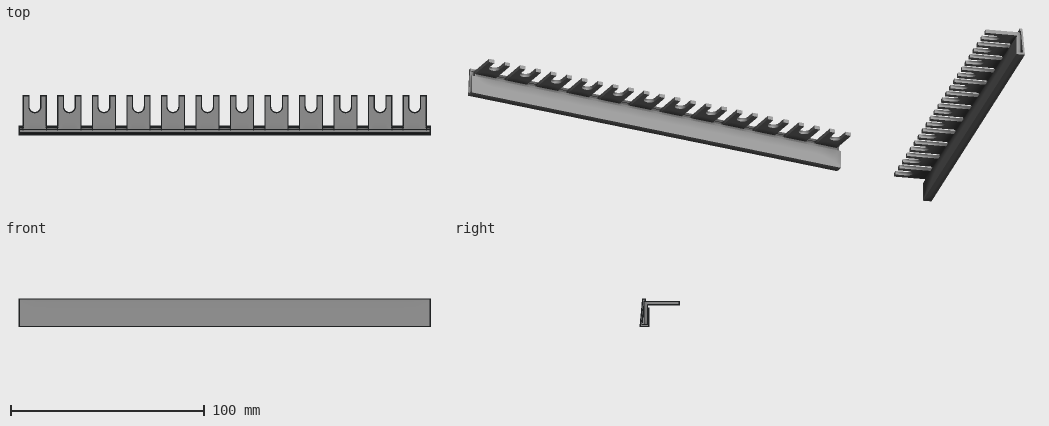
import cadquery as cq

length = 212.0
depth = 20.3
height = 14.3

carrier_depth = 4.55
floor_thickness = 1.1
rear_wall_thickness = 0.7
rear_wall_height = 9.6
front_wall_thickness = 0.95
front_wall_lean = 1.3
hook_thickness = 1.25
hook_depth = 1.4

bar_thickness = 1.9
bar_end_margin = 2.1
tooth_count = 12
tooth_width = 12.0
slot_width = 6.0
slot_depth = 8.75

front_y = -depth / 2
tip_y = depth / 2
carrier_rear_y = front_y + carrier_depth
bar_rear_y = carrier_rear_y - rear_wall_thickness
bar_front_y = bar_rear_y - bar_thickness
tooth_top_z = height - hook_thickness
tooth_bottom_z = tooth_top_z - bar_thickness
bar_length = length - 2 * bar_end_margin
tooth_pitch = (bar_length - tooth_width) / (tooth_count - 1)
slot_radius = slot_width / 2


def front_wall_y(z):
    """Outer surface of the leaning front wall at height z."""
    return front_y + front_wall_lean * z / height


def block(size_x, y_range, z_range, center_x=0):
    """Box centred on center_x that spans the given Y and Z ranges."""
    y_start, y_end = y_range
    z_start, z_end = z_range
    return (
        cq.Workplane("XY")
        .box(size_x, y_end - y_start, z_end - z_start, centered=(True, False, False))
        .translate((center_x, y_start, z_start))
    )


def make_carrier():
    """Channel profile extruded along the full length."""
    hook_rear_y = front_wall_y(height) + hook_depth
    profile = [
        (front_y, 0),
        (carrier_rear_y, 0),
        (carrier_rear_y, rear_wall_height),
        (bar_rear_y, rear_wall_height),
        (bar_rear_y, floor_thickness),
        (front_wall_y(floor_thickness) + front_wall_thickness, floor_thickness),
        (front_wall_y(tooth_top_z) + front_wall_thickness, tooth_top_z),
        (hook_rear_y, tooth_top_z),
        (hook_rear_y, height),
        (front_wall_y(height), height),
    ]
    return cq.Workplane("YZ").polyline(profile).close().extrude(length / 2, both=True)


def make_tooth(center_x):
    """Bent tooth with a round-bottomed slot open at its tip."""
    tooth = block(tooth_width, (bar_front_y, tip_y), (tooth_bottom_z, tooth_top_z), center_x)
    slot_end_y = tip_y - slot_depth + slot_radius
    slot = block(slot_width, (slot_end_y, tip_y), (tooth_bottom_z, tooth_top_z), center_x)
    slot_end = (
        cq.Workplane("XY", origin=(center_x, slot_end_y, tooth_bottom_z))
        .circle(slot_radius)
        .extrude(bar_thickness)
    )
    return tooth.cut(slot).cut(slot_end)


def make_busbar():
    """Upright strip standing on the carrier floor, with its row of teeth."""
    busbar = block(bar_length, (bar_front_y, bar_rear_y), (floor_thickness, tooth_bottom_z))
    first_tooth_x = (tooth_width - bar_length) / 2
    for index in range(tooth_count):
        busbar = busbar.union(make_tooth(first_tooth_x + index * tooth_pitch))
    return busbar


result = make_carrier().union(make_busbar())